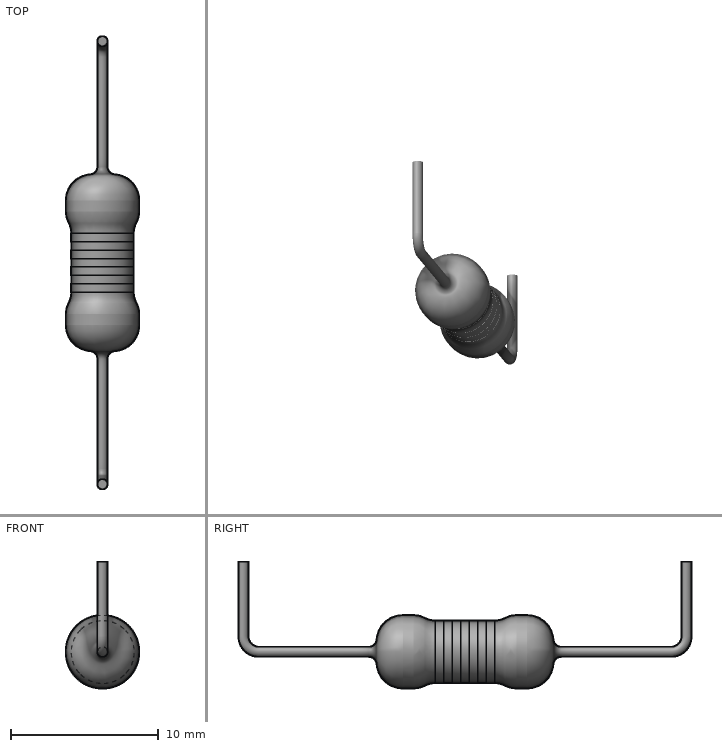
import cadquery as cq
import math


body_length = 12.0
cap_radius = 5.0 / 2
waist_radius = 4.25 / 2
waist_half_length = 2.0
shoulder_length = 1.48
dome_radius = 1.8

band_radius = 4.27 / 2
band_count = 4
band_width = 2 * waist_half_length / (2 * band_count - 1)

lead_radius = 0.7 / 2
lead_spacing = 30.0
lead_height = 6.1
bend_radius = 1.05
neck_radius = 0.5


def arc_midpoint(center, radius, start_angle, end_angle):
    """Point halfway along an arc, given its two end angles."""
    angle = (start_angle + end_angle) / 2
    return (center[0] + radius * math.cos(angle), center[1] + radius * math.sin(angle))


def make_end_cap():
    """Revolved shoulder, cap, dome and neck at the +Y end (radius along X, length along Y)."""
    dome_center = (cap_radius - dome_radius, body_length / 2 - dome_radius)
    neck_x = lead_radius + neck_radius
    center_gap = dome_radius + neck_radius
    tangent_angle = math.acos((neck_x - dome_center[0]) / center_gap)
    neck_center = (neck_x, dome_center[1] + center_gap * math.sin(tangent_angle))
    tangent_point = (
        dome_center[0] + dome_radius * math.cos(tangent_angle),
        dome_center[1] + dome_radius * math.sin(tangent_angle),
    )
    dome_mid = arc_midpoint(dome_center, dome_radius, 0, tangent_angle)
    neck_mid = arc_midpoint(neck_center, neck_radius, math.pi, math.pi + tangent_angle)

    half_rise = (cap_radius - waist_radius) / 2
    half_run = shoulder_length / 2
    shoulder_radius = (half_rise**2 + half_run**2) / (2 * half_rise)
    shoulder_angle = math.asin(half_run / shoulder_radius)
    concave_center = (waist_radius + shoulder_radius, waist_half_length)
    convex_center = (cap_radius - shoulder_radius, waist_half_length + shoulder_length)
    concave_mid = arc_midpoint(concave_center, shoulder_radius, math.pi, math.pi - shoulder_angle)
    convex_mid = arc_midpoint(convex_center, shoulder_radius, -shoulder_angle, 0)
    shoulder_mid = (waist_radius + half_rise, waist_half_length + half_run)
    profile = (
        cq.Workplane("XY")
        .moveTo(0, waist_half_length)
        .lineTo(waist_radius, waist_half_length)
        .threePointArc(concave_mid, shoulder_mid)
        .threePointArc(convex_mid, (cap_radius, waist_half_length + shoulder_length))
        .lineTo(cap_radius, dome_center[1])
        .threePointArc(dome_mid, tangent_point)
        .threePointArc(neck_mid, (lead_radius, neck_center[1]))
        .lineTo(0, neck_center[1])
        .close()
    )
    return profile.revolve(360, (0, 0, 0), (0, 1, 0))


def make_disc(radius, start_y, length):
    """Cylinder on the body axis, reaching from start_y toward +Y."""
    return cq.Workplane("XZ", origin=(0, start_y, 0)).circle(radius).extrude(-length)


def make_body():
    """Waist with its colour bands and an end cap on either side."""
    end_cap = make_end_cap()
    body = make_disc(waist_radius, -waist_half_length, 2 * waist_half_length)
    body = body.union(end_cap).union(end_cap.mirror("XZ"))
    for index in range(band_count):
        start_y = -waist_half_length + 2 * index * band_width
        body = body.union(make_disc(band_radius, start_y, band_width))
    return body


def make_leads():
    """One round wire through the body, turned up at both ends."""
    end_y = lead_spacing / 2
    bend_y = end_y - bend_radius
    bend_shift = bend_radius * math.sin(math.pi / 4)
    bend_mid_y = bend_y + bend_shift
    bend_mid_z = bend_radius - bend_shift
    path = (
        cq.Workplane("YZ")
        .moveTo(-end_y, lead_height)
        .lineTo(-end_y, bend_radius)
        .threePointArc((-bend_mid_y, bend_mid_z), (-bend_y, 0))
        .lineTo(bend_y, 0)
        .threePointArc((bend_mid_y, bend_mid_z), (end_y, bend_radius))
        .lineTo(end_y, lead_height)
    )
    return cq.Workplane("XY", origin=(0, -end_y, lead_height)).circle(lead_radius).sweep(path)


result = make_body().union(make_leads())